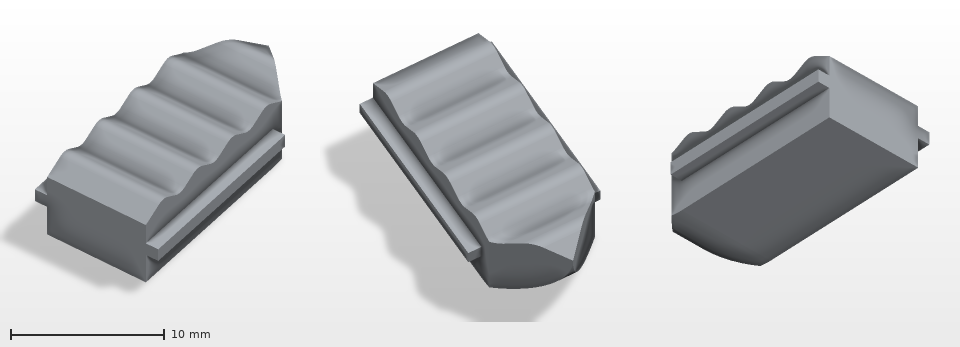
import cadquery as cq

length = 19.0
body_width = 8.0
shoulder_height = 5.0
nose_radius = shoulder_height
half_width = body_width / 2

tooth_count = 5
tooth_pitch = length / tooth_count
tooth_height = 1.0
wave_radius = 1.0

rail_thickness = 1.0
rail_bottom = 2.4
rail_length = length - nose_radius
overall_width = 10.0



def wavy_body():
    """Side profile with a rounded lower nose and a zigzag top, extruded across the width."""
    zigzag = []
    for tooth in range(tooth_count):
        start = length - tooth * tooth_pitch
        zigzag.append((start - tooth_pitch / 2, shoulder_height + tooth_height))
        zigzag.append((start - tooth_pitch, shoulder_height))

    body = (
        cq.Workplane("YZ")
        .moveTo(0, 0)
        .lineTo(length - nose_radius, 0)
        .radiusArc((length, nose_radius), -nose_radius)
    )
    for point in zigzag:
        body = body.lineTo(*point)
    body = body.close().extrude(half_width, both=True)

    margin = 0.19
    wave_edges = cq.selectors.BoxSelector(
        (-body_width, margin, shoulder_height - margin),
        (body_width, length - margin, shoulder_height + tooth_height + margin),
    )
    return body.edges("|X").edges(wave_edges).fillet(wave_radius)


def pointed_plan():
    """Plan outline with a right-angled point, tall enough to trim the whole body."""
    return (
        cq.Workplane("XY")
        .moveTo(-half_width, 0)
        .lineTo(half_width, 0)
        .lineTo(half_width, length - half_width)
        .lineTo(0, length)
        .lineTo(-half_width, length - half_width)
        .close()
        .extrude(shoulder_height + tooth_height)
    )


def side_rails():
    """One bar through the body that stands out as a rail on both sides."""
    return (
        cq.Workplane("XY")
        .box(overall_width, rail_length, rail_thickness, centered=(True, False, False))
        .translate((0, 0, rail_bottom))
    )


result = wavy_body().intersect(pointed_plan()).union(side_rails())